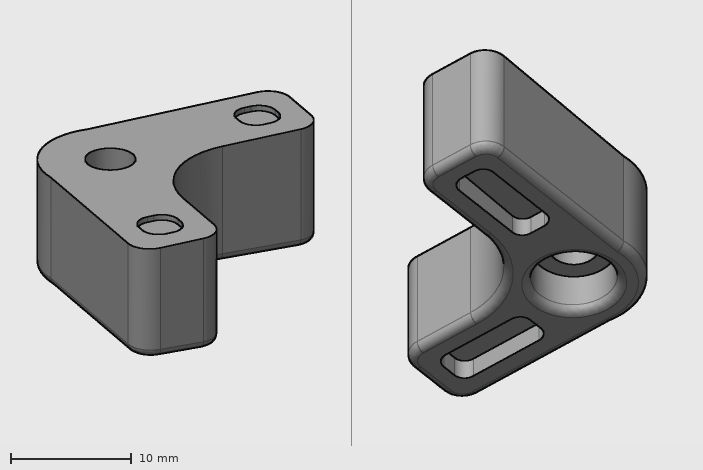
import cadquery as cq
import math

overall_x = 23.16
overall_y = 24.75
overall_z = 10.96

arm_width = 8.0
inner_corner_radius = 7.4
arm_end_radius = 2.0

hole_inset = 6.0
corner_reach = 6.9
corner_radius = math.hypot(hole_inset, corner_reach - hole_inset)
corner_bulge = corner_radius - hole_inset
arm_end_x = overall_x - corner_bulge
arm_end_y = overall_y - corner_bulge

slope = math.radians(2.35)
rim_fillet = 0.75

hole_diameter = 4.2
counterbore_diameter = 7.2
counterbore_depth = 4.0

recess_size = 3.6
recess_corner_radius = 1.5
recess_depth = 0.5
recess_inset = arm_width / 2

slot_length = 9.2
slot_width = recess_size
slot_corner_radius = 1.1
slot_depth = 2.0
slot_inset = recess_inset - recess_size / 2 + slot_length / 2

lowest_y = arm_end_y - rim_fillet * (1 - math.sin(slope))


def underside_z(y):
    """Height of the sloped underside at a given Y."""
    return -overall_z + math.tan(slope) * (lowest_y - y)


def make_l_block():
    """L-shaped block with rounded vertical edges and a flat bottom below the slope."""
    arc_middle = hole_inset - corner_radius * math.sqrt(0.5)
    block_height = 2 * overall_z
    block = (
        cq.Workplane("XY")
        .moveTo(corner_reach, 0)
        .lineTo(arm_end_x, 0)
        .lineTo(arm_end_x, arm_width)
        .lineTo(arm_width, arm_width)
        .lineTo(arm_width, arm_end_y)
        .lineTo(0, arm_end_y)
        .lineTo(0, corner_reach)
        .threePointArc((arc_middle, arc_middle), (corner_reach, 0))
        .close()
        .extrude(-block_height)
    )

    def round_edge(body, x, y, radius):
        edge = cq.selectors.NearestToPointSelector((x, y, -block_height / 2))
        return body.edges(edge).fillet(radius)

    block = round_edge(block, arm_width, arm_width, inner_corner_radius)
    for x, y in [
        (arm_end_x, 0),
        (arm_end_x, arm_width),
        (arm_width, arm_end_y),
        (0, arm_end_y),
    ]:
        block = round_edge(block, x, y, arm_end_radius)
    return block


def slope_underside(block):
    """Trim the block to its sloped underside."""
    front_y = -corner_bulge
    keep = (
        cq.Workplane("YZ", origin=(-corner_bulge, 0, 0))
        .moveTo(front_y, 0)
        .lineTo(arm_end_y, 0)
        .lineTo(arm_end_y, underside_z(arm_end_y))
        .lineTo(front_y, underside_z(front_y))
        .close()
        .extrude(overall_x)
    )
    return block.intersect(keep)


def round_underside(body):
    """Round the outer rim of the underside and the mouth of the counterbore."""
    return body.faces("<Z").edges().fillet(rim_fillet)


def make_recess(x, y):
    """Cutter for one rounded-square recess in the top."""
    return (
        cq.Workplane("XY", origin=(x, y, 0))
        .rect(recess_size, recess_size)
        .extrude(-recess_depth)
        .edges("|Z")
        .fillet(recess_corner_radius)
    )


def make_slot(x, y, size_x, size_y):
    """Cutter for one slot, with its floor slot_depth above the underside at its centre."""
    return (
        cq.Workplane("XY", origin=(x, y, underside_z(y) + slot_depth))
        .rect(size_x, size_y)
        .extrude(-2 * slot_depth)
        .edges("|Z")
        .fillet(slot_corner_radius)
    )


def make_screw_hole():
    """Cutter for the through hole and its counterbore."""
    hole = cq.Workplane("XY").center(hole_inset, hole_inset)
    shaft = hole.circle(hole_diameter / 2).extrude(-overall_z)
    counterbore_floor = underside_z(hole_inset) + counterbore_depth
    counterbore = (
        hole.workplane(offset=counterbore_floor)
        .circle(counterbore_diameter / 2)
        .extrude(-2 * counterbore_depth)
    )
    return shaft.union(counterbore)


result = slope_underside(make_l_block())
result = result.cut(make_screw_hole())
result = round_underside(result)
result = result.cut(make_recess(recess_inset, arm_end_y - recess_inset))
result = result.cut(make_recess(arm_end_x - recess_inset, recess_inset))
result = result.cut(make_slot(recess_inset, arm_end_y - slot_inset, slot_width, slot_length))
result = result.cut(make_slot(arm_end_x - slot_inset, recess_inset, slot_length, slot_width))